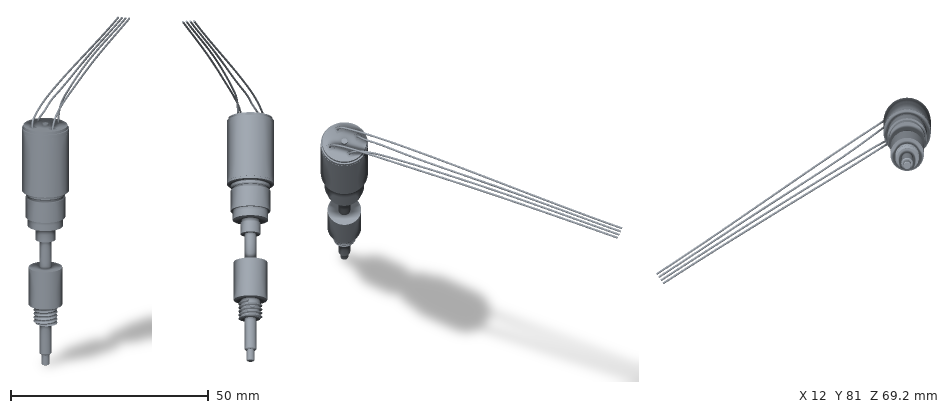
import cadquery as cq


overall_length = 81.0
overall_height = 69.2

tip_diameter = 2.0
tip_chamfer = 0.2
spindle_diameter = 3.0
spindle_shoulder_z = 2.8
spindle_chamfer = (spindle_diameter - tip_diameter) / 4

thread_bottom_z = 11.1
thread_pitch = 1.0
thread_major_diameter = 6.0
thread_root_diameter = 5.0
thread_crest_width = 0.12
thread_base_width = 0.8
thread_embed = 0.1
thread_relief_diameter = 4.7
thread_relief_height = 0.3
nut_bottom_z = 16.0
nut_top_z = 26.0
nut_diameter = 8.5
thread_top_z = nut_bottom_z - thread_relief_height

collar_bottom_z = 33.4
collar_top_z = 36.3
collar_diameter = 5.0
collar_neck_diameter = 4.5
flange_bottom_z = 37.1
flange_diameter = 9.0
gearbox_bottom_z = 39.45
gearbox_top_z = 44.8
gearbox_diameter = 10.05
ridge_bottom_z = 45.4
ridge_top_z = 46.2
ridge_chamfer = 0.25
gearbox_neck_diameter = 9.1

motor_bottom_z = 46.5
motor_top_z = 63.2
motor_diameter = 12.0
rim_diameter = 11.9
lower_rim_height = 0.6
upper_rim_height = 0.9
cap_diameter = 11.2
cap_top_z = 63.9
hub_diameter = 1.5
hub_height = 0.5

terminal_offset = 2.7
terminal_side = 1.7
terminal_depth = 0.1
wire_offset_y = -0.25
wire_embed = 0.4
wire_diameter = 0.5
wire_end_y = overall_length - motor_diameter / 2
wire_end_z = 67.9
wire_end_spacing = 1.0
wire_end_center_x = 0.2
wire_peak_z = overall_height - wire_diameter / 2


def cylinder(diameter, bottom_z, top_z):
    return cq.Workplane("XY").workplane(offset=bottom_z).circle(diameter / 2).extrude(top_z - bottom_z)


def make_spindle():
    tip = cylinder(tip_diameter, 0, spindle_shoulder_z + spindle_chamfer).faces("<Z").chamfer(tip_chamfer)
    shaft = cylinder(spindle_diameter, spindle_shoulder_z, collar_top_z)
    return tip.union(shaft.faces("<Z").chamfer(spindle_chamfer))


def make_nut():
    relief = cylinder(thread_relief_diameter, thread_top_z, nut_bottom_z)
    return cylinder(nut_diameter, nut_bottom_z, nut_top_z).union(relief).union(make_threaded_stub())


def make_threaded_stub():
    """Core with a helical ridge, both begun below the stub and trimmed flush with its lower end."""
    root_radius = thread_root_diameter / 2
    major_radius = thread_major_diameter / 2
    inner_radius = root_radius - thread_embed
    start_z = thread_bottom_z - thread_pitch
    height = thread_top_z - thread_pitch / 2 - start_z
    helix = cq.Wire.makeHelix(thread_pitch, height, root_radius, center=cq.Vector(0, 0, start_z))
    profile = (
        cq.Workplane("XZ")
        .moveTo(inner_radius, start_z - thread_base_width / 2)
        .lineTo(major_radius, start_z - thread_crest_width / 2)
        .lineTo(major_radius, start_z + thread_crest_width / 2)
        .lineTo(inner_radius, start_z + thread_base_width / 2)
        .close()
    )
    ridge = profile.sweep(cq.Workplane(helix), isFrenet=True)
    core = cylinder(thread_root_diameter, start_z - thread_pitch, thread_top_z)
    return core.union(ridge).intersect(cylinder(nut_diameter, thread_bottom_z, nut_bottom_z))


def make_gearbox():
    sections = [
        (collar_diameter, collar_bottom_z, collar_top_z),
        (collar_neck_diameter, collar_top_z, flange_bottom_z),
        (flange_diameter, flange_bottom_z, gearbox_bottom_z),
        (gearbox_diameter, gearbox_bottom_z, gearbox_top_z),
        (gearbox_neck_diameter, gearbox_top_z, motor_bottom_z),
    ]
    ridge = cylinder(gearbox_diameter, ridge_bottom_z, ridge_top_z).faces("<Z").chamfer(ridge_chamfer)
    return stack(sections).union(ridge)


def make_motor():
    lower_rim_top_z = motor_bottom_z + lower_rim_height
    upper_rim_bottom_z = motor_top_z - upper_rim_height
    sections = [
        (rim_diameter, motor_bottom_z, lower_rim_top_z),
        (motor_diameter, lower_rim_top_z, upper_rim_bottom_z),
        (rim_diameter, upper_rim_bottom_z, motor_top_z),
        (cap_diameter, motor_top_z, cap_top_z),
        (hub_diameter, cap_top_z, cap_top_z + hub_height),
    ]
    terminal_pockets = (
        cq.Workplane("XY")
        .workplane(offset=cap_top_z - terminal_depth)
        .rect(2 * terminal_offset, 2 * terminal_offset, forConstruction=True)
        .vertices()
        .polygon(4, terminal_side * 2**0.5)
        .extrude(2 * terminal_depth)
    )
    return stack(sections).cut(terminal_pockets)


def stack(sections):
    body = cylinder(*sections[0])
    for section in sections[1:]:
        body = body.union(cylinder(*section))
    return body


def make_wire(side_x, side_y, end_slot, bend_points):
    """Lead that rises through its terminal, bends through the points and runs out along +Y."""
    start = (
        side_x * terminal_offset,
        side_y * terminal_offset + wire_offset_y,
        cap_top_z - terminal_depth - wire_embed,
    )
    end = (wire_end_center_x + end_slot * wire_end_spacing, wire_end_y, wire_end_z)
    path = cq.Workplane("XY").spline(
        [start, *bend_points, end], tangents=[(0, 0, 1), (0, 1, 0)], scale=False
    )
    return cq.Workplane("XY", origin=start).circle(wire_diameter / 2).sweep(path)


leads = [
    (1, -1, 1.5,
     [(2.9, -1.8, 66.2), (3.0, 2.35, 67.6), (2.9, 15.4, 68.6), (2.6, 30.8, wire_peak_z)]),
    (1, 1, 0.5,
     [(2.4, 4.2, 66.1), (2.0, 7.3, 67.15), (1.7, 13.8, 67.95), (1.1, 40.5, wire_peak_z)]),
    (-1, 1, -0.5,
     [(-1.8, 4.2, 65.6), (-1.2, 7.3, 66.9), (-0.7, 13.8, 67.7), (-0.4, 40.5, 68.3)]),
    (-1, -1, -1.5,
     [(-2.75, -2.35, 65.05), (-2.75, -0.4, 66.0), (-2.7, 3.2, 66.8), (-2.5, 15.4, 67.7), (-1.8, 44.55, 67.95)]),
]

wired_motor = make_motor()
for lead in leads:
    wired_motor = wired_motor.union(make_wire(*lead))

result = wired_motor.union(make_gearbox()).union(make_spindle()).union(make_nut())